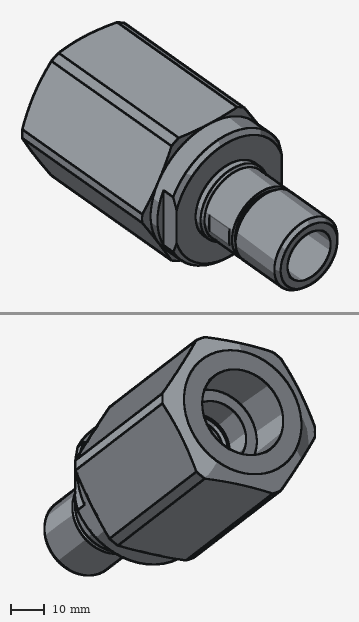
import cadquery as cq
import math

total_length = 102.8
hex_end = 57.7
collar_end = 66.6
ring_end = 69.7
groove_start = 82.1
groove_end = 83.8

across_flats = 46.0
across_corners = 51.4
front_face_diameter = 39.5
front_chamfer_length = 2.5
rear_chamfer_length = 0.7

collar_diameter = across_flats
collar_chamfer = 1.5
collar_flat_start = 60.7
collar_across_flats = 41.2

ring_diameter = 26.3
ring_chamfer = 0.8
spigot_diameter = 24.7
groove_depth = 1.2
spigot_chamfer_length = 1.4
spigot_chamfer_depth = 1.2
spigot_flat_start = 71.6
spigot_flat_end = 80.7
spigot_across_flats = 23.9

socket_diameter = 27.2
socket_depth = 16.5
counterbore_diameter = 20.0
counterbore_depth = 10.3
through_diameter = 16.9
through_mouth_diameter = 18.9
through_chamfer = (through_mouth_diameter - through_diameter) / 2


def revolve_about_x(points):
    """Revolve a closed (x, radius) outline around the X axis."""
    return cq.Workplane("XY").polyline(points).close().revolve(360, (0, 0, 0), (1, 0, 0))


def make_hex_body():
    """Hexagonal bar with rounded corners and a conical chamfer at each end."""
    corner_radius = across_corners / 2
    sharp_corner_diameter = across_flats / math.cos(math.pi / 6)
    bar = cq.Workplane("YZ").polygon(6, sharp_corner_diameter).extrude(hex_end)
    envelope = revolve_about_x([
        (0, 0),
        (0, front_face_diameter / 2),
        (front_chamfer_length, corner_radius),
        (hex_end - rear_chamfer_length, corner_radius),
        (hex_end, across_flats / 2),
        (hex_end, 0),
    ])
    return bar.intersect(envelope)


def make_collar_and_spigot():
    """Round collar, shoulder ring and grooved spigot, turned as one piece."""
    collar_radius = collar_diameter / 2
    ring_radius = ring_diameter / 2
    spigot_radius = spigot_diameter / 2
    groove_radius = spigot_radius - groove_depth
    return revolve_about_x([
        (hex_end, 0),
        (hex_end, collar_radius),
        (collar_end - collar_chamfer, collar_radius),
        (collar_end, collar_radius - collar_chamfer),
        (collar_end, ring_radius),
        (ring_end - ring_chamfer, ring_radius),
        (ring_end, spigot_radius),
        (groove_start, spigot_radius),
        (groove_start, groove_radius),
        (groove_end, spigot_radius),
        (total_length - spigot_chamfer_length, spigot_radius),
        (total_length, spigot_radius - spigot_chamfer_depth),
        (total_length, 0),
    ])


def cut_flats(body, start, end, across, diameter):
    """Cut a pair of flats on the -Y and +Y sides between two X positions."""
    length = end - start
    for side in (-1, 1):
        cutter = cq.Workplane("XY").box(length, diameter, diameter)
        offset = side * (across + diameter) / 2
        body = body.cut(cutter.translate((start + length / 2, offset, 0)))
    return body


def make_bore():
    """Wide socket, a counterbore, and a through hole with a chamfered mouth."""
    counterbore_end = socket_depth + counterbore_depth
    return revolve_about_x([
        (0, 0),
        (0, socket_diameter / 2),
        (socket_depth, socket_diameter / 2),
        (socket_depth, counterbore_diameter / 2),
        (counterbore_end, counterbore_diameter / 2),
        (counterbore_end, through_mouth_diameter / 2),
        (counterbore_end + through_chamfer, through_diameter / 2),
        (total_length, through_diameter / 2),
        (total_length, 0),
    ])


result = make_hex_body().union(make_collar_and_spigot())
result = cut_flats(result, collar_flat_start, collar_end, collar_across_flats, collar_diameter)
result = cut_flats(result, spigot_flat_start, spigot_flat_end, spigot_across_flats, spigot_diameter)
result = result.cut(make_bore())